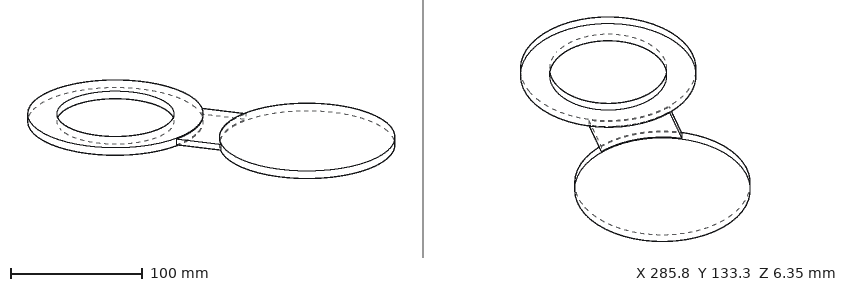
import cadquery as cq

disc_diameter = 133.35
center_spacing = 152.4
disc_thickness = 6.35
bore_diameter = 88.9
web_width = 63.5
web_thickness = 4.7625

ring_center_x = -center_spacing / 2
blind_center_x = center_spacing / 2


def make_cylinder(center_x, diameter):
    """Upright cylinder of full plate thickness, centred on Z = 0."""
    profile = cq.Workplane("XY").center(center_x, 0).circle(diameter / 2)
    return profile.extrude(disc_thickness / 2, both=True)


def make_web():
    """Flat bar between the two centres, centred in the plate thickness."""
    return cq.Workplane("XY").box(center_spacing, web_width, web_thickness)


ring_disc = make_cylinder(ring_center_x, disc_diameter)
blind_disc = make_cylinder(blind_center_x, disc_diameter)
bore = make_cylinder(ring_center_x, bore_diameter)

result = ring_disc.union(make_web()).union(blind_disc).cut(bore)